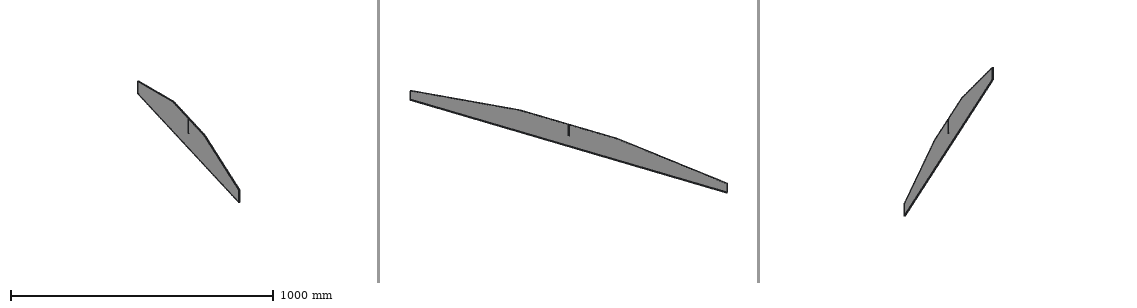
import cadquery as cq

length = 1300.0
thickness = 5.0
height = 120.0

end_height = 50.0
flat_top_length = 400.0

slot_width = thickness
slot_depth = height / 2


def tapered_plate():
    """Plate standing on its long edge, centred on X and Y with its base at Z = 0."""
    outline = [
        (-length / 2, 0),
        (length / 2, 0),
        (length / 2, end_height),
        (flat_top_length / 2, height),
        (-flat_top_length / 2, height),
        (-length / 2, end_height),
    ]
    return cq.Workplane("XZ").polyline(outline).close().extrude(thickness / 2, both=True)


def half_lap_slot():
    """Cutter for the slot through the thickness, open at the top edge."""
    return (
        cq.Workplane("XY")
        .box(slot_width, thickness, slot_depth, centered=(True, True, False))
        .translate((0, 0, height - slot_depth))
    )


result = tapered_plate().cut(half_lap_slot())